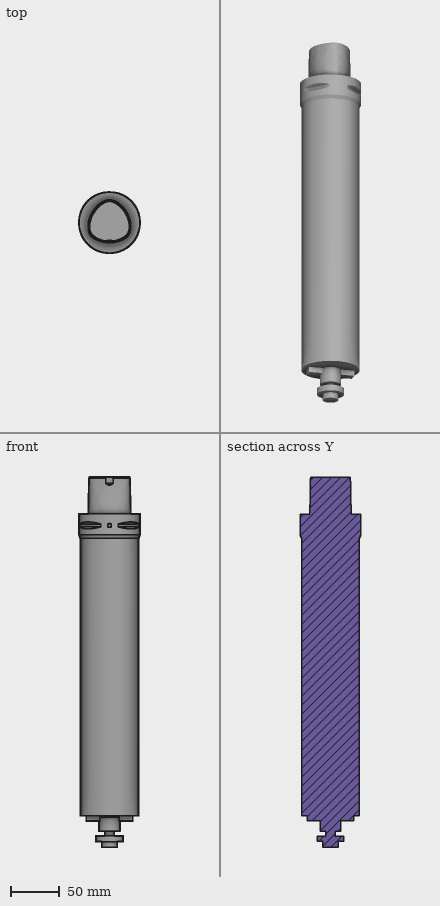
import cadquery as cq
import math

total_length = 380.5
shank_length = 38.0
arbor_length = 310.0

shank_diameter = 44.1
lobe_eccentricity = 1.4
outline_points = 36
taper = 1 / 20
shank_chamfer_height = 1.4
shank_chamfer_inset = 0.7

notch_radius = 5.0
notch_depth = 1.8
notch_length = 6.5

flange_diameter = 63.0
flange_height = 21.7
transition_height = 3.5
body_diameter = 60.0

groove_centre_z = -11.9
groove_floor_width = 2.9
groove_floor_distance = 27.8
groove_flank_angle = 30.0
groove_count = 4
first_groove_angle = 45.0
coding_hole_diameter = 4.0
coding_hole_depth = 1.5

pilot_diameter = 22.0
pilot_length = 16.0
pilot_chamfer_height = 1.0
pilot_tip_diameter = 21.4
relief_diameter = 21.4
relief_width = 1.6
screw_diameter = 10.0
screw_flange_diameter = 28.0
screw_flange_height = 6.0
screw_end_diameter = 16.0
screw_end_height = 6.0

key_width = 10.0
key_height = 5.6
key_span = 48.0

body_front_z = -arbor_length
pilot_front_z = body_front_z - pilot_length
screw_end_z = shank_length - total_length
screw_flange_front_z = screw_end_z + screw_end_height
screw_flange_back_z = screw_flange_front_z + screw_flange_height
flange_radius = flange_diameter / 2


def lobed_outline(mean_radius):
    """Return points on the trilobe curve of a polygonal shank, with one lobe toward +Y."""
    points = []
    for index in range(outline_points):
        angle = 2 * math.pi * index / outline_points
        along = (mean_radius * math.cos(angle) - 2 * lobe_eccentricity * math.cos(2 * angle)
                 + lobe_eccentricity * math.cos(4 * angle))
        across = (mean_radius * math.sin(angle) + 2 * lobe_eccentricity * math.sin(2 * angle)
                  + lobe_eccentricity * math.sin(4 * angle))
        points.append((across, -along))
    return points


def lobed_frustum(bottom_z, bottom_radius, top_z, top_radius):
    """Loft between two lobed outlines of different mean radius."""
    return (cq.Workplane("XY").workplane(offset=bottom_z)
            .spline(lobed_outline(bottom_radius), periodic=True, makeWire=True)
            .workplane(offset=top_z - bottom_z)
            .spline(lobed_outline(top_radius), periodic=True, makeWire=True)
            .loft(ruled=True))


def cylinder(diameter, bottom_z, top_z):
    """Make an upright cylinder on the part axis."""
    return cq.Workplane("XY").workplane(offset=bottom_z).circle(diameter / 2).extrude(top_z - bottom_z)


def make_shank():
    """Tapered polygonal shank with a chamfered end and a 45-degree-tipped notch on its -Y side."""
    chamfer_z = shank_length - shank_chamfer_height
    base_radius = shank_diameter / 2
    chamfer_radius = base_radius - taper / 2 * chamfer_z
    shank = lobed_frustum(0, base_radius, chamfer_z, chamfer_radius)
    end_radius = chamfer_radius - shank_chamfer_inset
    shank = shank.union(lobed_frustum(chamfer_z, chamfer_radius, shank_length, end_radius))

    flat_side_distance = chamfer_radius - lobe_eccentricity
    notch_y = -(flat_side_distance - notch_depth + notch_radius)
    notch_bottom_z = shank_length - notch_length
    notch_tip_z = notch_bottom_z - notch_radius
    notch_profile = [
        (0, notch_tip_z),
        (notch_radius, notch_bottom_z),
        (notch_radius, shank_length),
        (0, shank_length),
    ]
    notch = (cq.Workplane("XZ").polyline(notch_profile).close()
             .revolve(360, (0, 0), (0, 1)).translate((0, notch_y, 0)))
    return shank.cut(notch)


def make_flange_and_body():
    """Flange that runs down a short cone into the long cylindrical body."""
    transition_bottom_z = -flange_height - transition_height
    profile = [
        (0, 0),
        (flange_radius, 0),
        (flange_radius, -flange_height),
        (body_diameter / 2, transition_bottom_z),
        (body_diameter / 2, body_front_z),
        (0, body_front_z),
    ]
    return cq.Workplane("XZ").polyline(profile).close().revolve(360, (0, 0), (0, 1))


def make_gripper_groove(angle):
    """Straight groove across the flange edge, with a flat floor and sloped flanks."""
    depth = flange_radius - groove_floor_distance
    half_floor = groove_floor_width / 2
    half_mouth = half_floor + depth * math.tan(math.radians(groove_flank_angle))
    section = [
        (groove_floor_distance, groove_centre_z - half_floor),
        (flange_radius, groove_centre_z - half_mouth),
        (flange_radius, groove_centre_z + half_mouth),
        (groove_floor_distance, groove_centre_z + half_floor),
    ]
    groove = cq.Workplane("XZ").polyline(section).close().extrude(flange_radius, both=True)
    return groove.rotate((0, 0, 0), (0, 0, 1), angle)


def make_coding_hole():
    """Blind radial hole on the -Y side of the flange."""
    return (cq.Workplane("XZ", origin=(0, -flange_radius, groove_centre_z))
            .circle(coding_hole_diameter / 2).extrude(-coding_hole_depth))


def make_pilot_and_screw():
    """Stepped pilot with a relief at the body face, followed by the clamping screw."""
    relief_front_z = body_front_z - relief_width
    relief = cylinder(relief_diameter, relief_front_z, body_front_z)
    pilot_profile = [
        (0, relief_front_z),
        (pilot_diameter / 2, relief_front_z),
        (pilot_diameter / 2, pilot_front_z + pilot_chamfer_height),
        (pilot_tip_diameter / 2, pilot_front_z),
        (0, pilot_front_z),
    ]
    pilot = cq.Workplane("XZ").polyline(pilot_profile).close().revolve(360, (0, 0), (0, 1))
    screw = cylinder(screw_diameter, screw_flange_back_z, pilot_front_z)
    screw_flange = cylinder(screw_flange_diameter, screw_flange_front_z, screw_flange_back_z)
    screw_end = cylinder(screw_end_diameter, screw_end_z, screw_flange_front_z)
    return relief.union(pilot).union(screw).union(screw_flange).union(screw_end)


def make_drive_keys():
    """Bar across the body face whose ends stand out on both sides of the pilot."""
    return (cq.Workplane("XY").workplane(offset=body_front_z)
            .rect(key_span, key_width).extrude(-key_height))


result = make_flange_and_body()
for groove_index in range(groove_count):
    groove_angle = first_groove_angle + groove_index * 360 / groove_count
    result = result.cut(make_gripper_groove(groove_angle))
result = result.cut(make_coding_hole())
result = result.union(make_shank()).union(make_pilot_and_screw()).union(make_drive_keys())